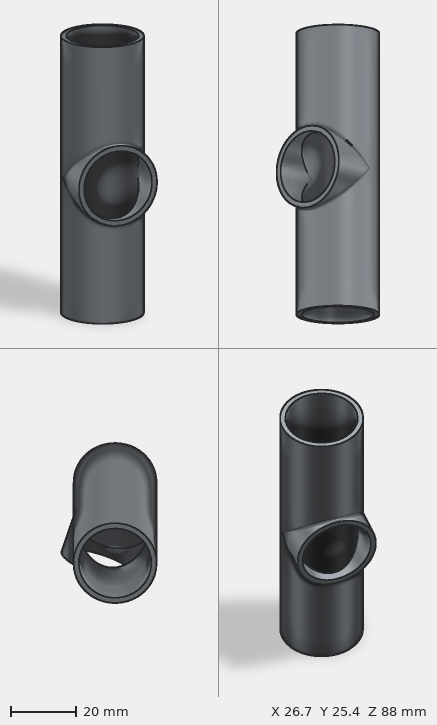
import cadquery as cq

run_length = 88.0
outer_diameter = 25.4
bore_diameter = 22.1
overall_width = 26.7
branch_reach = overall_width - outer_diameter / 2
junction_fillet = 0.5


def run_cylinder(diameter):
    """Full-length cylinder on the Z axis, centred on the origin."""
    return cq.Workplane("XY").circle(diameter / 2).extrude(run_length / 2, both=True)


def branch_cylinder(diameter):
    """Cylinder on the X axis from the run axis to the branch end."""
    return cq.Workplane("YZ").circle(diameter / 2).extrude(branch_reach)


body = run_cylinder(outer_diameter).union(branch_cylinder(outer_diameter))

body = body.edges("%ELLIPSE").fillet(junction_fillet)

bores = run_cylinder(bore_diameter).union(branch_cylinder(bore_diameter))
result = body.cut(bores)